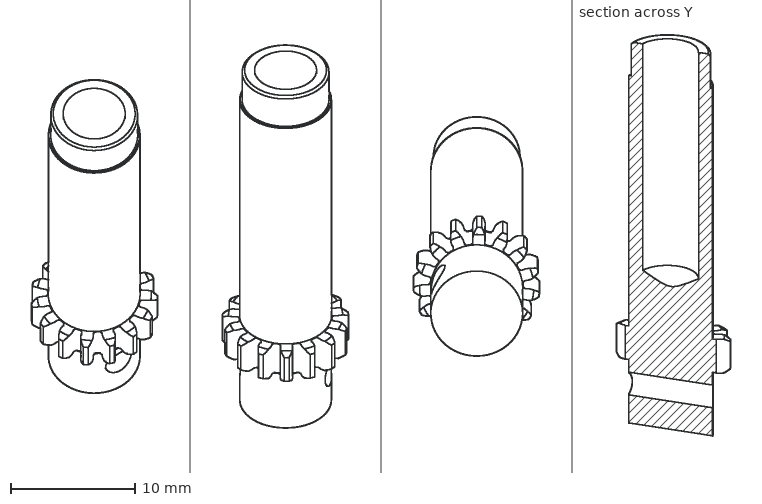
import cadquery as cq
import math

shaft_diameter = 7.4
journal_diameter = 7.0
total_length = 33.7
journal_length = 3.0
journal_chamfer = 0.2
shoulder_chamfer = 0.05

bore_diameter = 5.0
bore_depth = 20.0
drill_point_angle = 118.0

cross_hole_diameter = 2.5
cross_hole_height = 3.5

module = 0.6
tooth_count = 15
dedendum_factor = 1.25
pressure_angle = math.radians(20.0)
gear_bottom = 5.6
gear_width = 3.0
root_fillet = 0.25
tip_bevel_radial = 0.5
tip_bevel_slope = math.radians(30.0)
first_tooth_angle = math.radians(-90.0)

pitch_radius = module * tooth_count / 2
tip_radius = pitch_radius + module
root_radius = pitch_radius - dedendum_factor * module
base_radius = pitch_radius * math.cos(pressure_angle)
tooth_pitch = 2 * math.pi / tooth_count


def involute(angle):
    """Polar angle swept by an involute at the given pressure angle."""
    return math.tan(angle) - angle


def polar(radius, angle):
    return (radius * math.cos(angle), radius * math.sin(angle))


base_half_angle = tooth_pitch / 4 + involute(pressure_angle)


def tooth_half_angle(radius):
    return base_half_angle - involute(math.acos(base_radius / radius))


def revolve_about_z(profile):
    """Solid of revolution from (radius, height) points."""
    return cq.Workplane("XZ").polyline(profile).close().revolve(360, (0, 0), (0, 1))


def make_shaft():
    """Shaft with a smaller journal at the top, both chamfered at their upper ends."""
    shaft_radius = shaft_diameter / 2
    journal_radius = journal_diameter / 2
    shoulder_height = total_length - journal_length
    return revolve_about_z([
        (0, 0),
        (shaft_radius, 0),
        (shaft_radius, shoulder_height - shoulder_chamfer),
        (shaft_radius - shoulder_chamfer, shoulder_height),
        (journal_radius, shoulder_height),
        (journal_radius, total_length - journal_chamfer),
        (journal_radius - journal_chamfer, total_length),
        (0, total_length),
    ])


def make_gear_blank():
    """Disc whose rim is bevelled on both faces."""
    bevel_height = tip_bevel_radial * math.tan(tip_bevel_slope)
    face_radius = tip_radius - tip_bevel_radial
    return revolve_about_z([
        (0, 0),
        (face_radius, 0),
        (tip_radius, bevel_height),
        (tip_radius, gear_width - bevel_height),
        (face_radius, gear_width),
        (0, gear_width),
    ])


def make_teeth():
    """Gear outline with each involute flank drawn as an arc through three of its points."""
    tip_half_angle = tooth_half_angle(tip_radius)
    pitch_half_angle = tooth_half_angle(pitch_radius)
    outline = cq.Workplane("XY").moveTo(*polar(root_radius, first_tooth_angle - base_half_angle))
    for i in range(tooth_count):
        center = first_tooth_angle + i * tooth_pitch
        rising_tip = polar(tip_radius, center - tip_half_angle)
        falling_tip = polar(tip_radius, center + tip_half_angle)
        falling_base = polar(base_radius, center + base_half_angle)
        gap_middle = polar(root_radius, center + tooth_pitch / 2)
        next_root = polar(root_radius, center + tooth_pitch - base_half_angle)
        outline = outline.lineTo(*polar(base_radius, center - base_half_angle))
        outline = outline.threePointArc(polar(pitch_radius, center - pitch_half_angle), rising_tip)
        outline = outline.threePointArc(polar(tip_radius, center), falling_tip)
        outline = outline.threePointArc(polar(pitch_radius, center + pitch_half_angle), falling_base)
        outline = outline.lineTo(*polar(root_radius, center + base_half_angle))
        outline = outline.threePointArc(gap_middle, next_root)
    return outline.close().extrude(gear_width)


def make_gear():
    corner_limit = (root_radius + base_radius) / 2
    teeth = make_teeth()
    root_corners = teeth.edges("|Z").filter(
        lambda edge: math.hypot(edge.Center().x, edge.Center().y) < corner_limit
    )
    gear = root_corners.fillet(root_fillet).intersect(make_gear_blank())
    return gear.translate((0, 0, gear_bottom))


def make_bore():
    radius = bore_diameter / 2
    point_length = radius / math.tan(math.radians(drill_point_angle / 2))
    bore_floor = total_length - bore_depth
    return revolve_about_z([
        (0, bore_floor - point_length),
        (radius, bore_floor),
        (radius, total_length),
        (0, total_length),
    ])


def make_cross_hole():
    hole = cq.Workplane("YZ").center(0, cross_hole_height).circle(cross_hole_diameter / 2)
    return hole.extrude(shaft_diameter, both=True)


result = make_shaft().union(make_gear()).cut(make_bore()).cut(make_cross_hole())